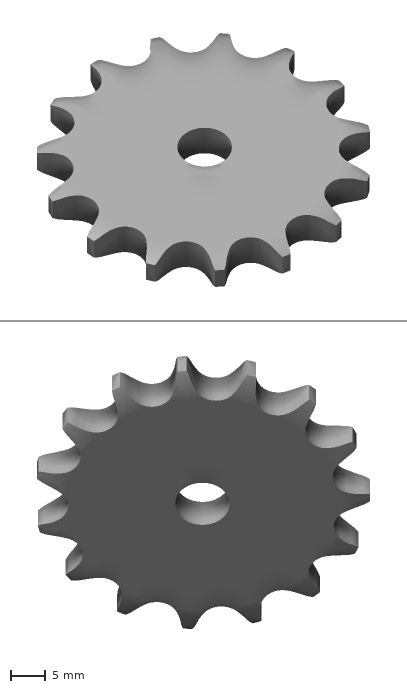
import cadquery as cq
import math


tooth_count = 15
chain_pitch = 9.55
roller_diameter = 6.35
seat_allowance = 0.04
thickness = 5.3
bore_diameter = 8.0
tip_diameter = 49.3
crown_start_radius = 20.3
tip_thickness = 3.45

tip_radius = tip_diameter / 2

half_pitch_angle = math.pi / tooth_count
seat_angle = math.radians(35 + 60 / tooth_count)
working_angle = math.radians(18 - 56 / tooth_count)
flank_angle = seat_angle - working_angle

pitch_radius = chain_pitch / (2 * math.sin(half_pitch_angle))
seat_radius = 0.5025 * roller_diameter + seat_allowance
working_center_distance = 0.8 * roller_diameter
working_radius = seat_radius + working_center_distance
topping_center_distance = 1.4 * roller_diameter


def polar(center, radius, angle):
    """Point at a radius and angle from a center."""
    return (center[0] + radius * math.cos(angle), center[1] + radius * math.sin(angle))


def rotate(point, angle):
    """Turn a point about the sprocket axis."""
    x, y = point
    return (
        x * math.cos(angle) - y * math.sin(angle),
        x * math.sin(angle) + y * math.cos(angle),
    )


def half_gap_points():
    """Points from the root to the tooth tip on the +X side of the gap centred on +Y.

    Each arc's end point follows a point midway along that arc.
    """
    seat_center = (0, pitch_radius)
    root = polar(seat_center, seat_radius, -math.pi / 2)
    seat_middle = polar(seat_center, seat_radius, -(math.pi / 2 + seat_angle) / 2)
    seat_end = polar(seat_center, seat_radius, -seat_angle)

    working_center = polar(seat_center, working_center_distance, math.pi - seat_angle)
    working_middle = polar(working_center, working_radius, -(seat_angle + flank_angle) / 2)
    working_end = polar(working_center, working_radius, -flank_angle)

    topping_center = polar(seat_center, topping_center_distance, -half_pitch_angle)
    flank_normal = (math.cos(flank_angle), -math.sin(flank_angle))
    topping_radius = (
        (topping_center[0] - working_end[0]) * flank_normal[0]
        + (topping_center[1] - working_end[1]) * flank_normal[1]
    )
    topping_start_angle = math.pi - flank_angle
    topping_start = polar(topping_center, topping_radius, topping_start_angle)

    center_radius = math.hypot(*topping_center)
    center_angle = math.atan2(topping_center[1], topping_center[0])
    tip_offset_angle = math.acos(
        (tip_radius**2 + center_radius**2 - topping_radius**2) / (2 * tip_radius * center_radius)
    )
    tip = polar((0, 0), tip_radius, center_angle + tip_offset_angle)
    topping_end_angle = math.atan2(tip[1] - topping_center[1], tip[0] - topping_center[0])
    topping_middle = polar(
        topping_center, topping_radius, (topping_start_angle + topping_end_angle) / 2
    )
    return [
        root,
        seat_middle,
        seat_end,
        working_middle,
        working_end,
        topping_start,
        topping_middle,
        tip,
    ]


def toothed_plate():
    """Full-thickness plate with every tooth, drawn clockwise from the root on +Y."""
    right_half = half_gap_points()
    left_half = [(-x, y) for x, y in reversed(right_half)]
    outline = cq.Workplane("XY").workplane(offset=-thickness / 2).moveTo(*right_half[0])
    for index in range(tooth_count):
        turn = -2 * half_pitch_angle * index
        next_turn = turn - 2 * half_pitch_angle
        _, seat_mid, seat_end, work_mid, work_end, top_start, top_mid, tip = [
            rotate(point, turn) for point in right_half
        ]
        outline = (
            outline.threePointArc(seat_mid, seat_end)
            .threePointArc(work_mid, work_end)
            .lineTo(*top_start)
            .threePointArc(top_mid, tip)
        )
        tip_middle = rotate((0, tip_radius), turn - half_pitch_angle)
        tip, top_mid, top_start, work_end, work_mid, seat_end, seat_mid, root = [
            rotate(point, next_turn) for point in left_half
        ]
        outline = (
            outline.threePointArc(tip_middle, tip)
            .threePointArc(top_mid, top_start)
            .lineTo(*work_end)
            .threePointArc(work_mid, seat_end)
            .threePointArc(seat_mid, root)
        )
    return outline.close().extrude(thickness, clean=False)


def crowned_blank():
    """Disc whose rim curves in from both flat faces, tangent to them."""
    crown_width = tip_radius - crown_start_radius
    crown_drop = (thickness - tip_thickness) / 2
    crown_radius = (crown_width**2 + crown_drop**2) / (2 * crown_drop)
    half_sweep = math.asin(crown_width / crown_radius) / 2
    middle_radius = crown_start_radius + crown_radius * math.sin(half_sweep)
    middle_height = thickness / 2 - crown_radius * (1 - math.cos(half_sweep))
    return (
        cq.Workplane("XZ")
        .moveTo(0, -thickness / 2)
        .lineTo(crown_start_radius, -thickness / 2)
        .threePointArc((middle_radius, -middle_height), (tip_radius, -tip_thickness / 2))
        .lineTo(tip_radius, tip_thickness / 2)
        .threePointArc((middle_radius, middle_height), (crown_start_radius, thickness / 2))
        .lineTo(0, thickness / 2)
        .close()
        .revolve(360, (0, 0, 0), (0, 1, 0))
    )


bore = (
    cq.Workplane("XY").workplane(offset=-thickness / 2).circle(bore_diameter / 2).extrude(thickness)
)

result = toothed_plate().intersect(crowned_blank(), clean=False).cut(bore, clean=False)